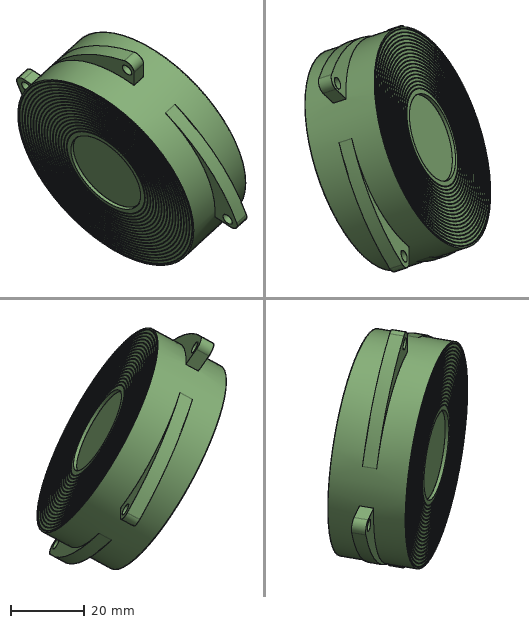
import cadquery as cq
import math

body_radius = 31.5
body_depth = 22.0

recess_radius = 12.5
recess_depth = 1.0

groove_count = 18
first_groove_radius = 14.0
last_groove_radius = 31.0
groove_width = 0.2
groove_depth = 0.2

ear_count = 4
ear_thickness = 4.0
ear_reach = 39.5
tip_radius = 2.5
hole_radius = 1.65
hole_distance = 36.0
back_radius = 52.0


def polar(radius, angle, center=(0, 0)):
    """Point at the given radius and angle from a center."""
    return (center[0] + radius * math.cos(angle), center[1] + radius * math.sin(angle))


def extrude_mid_plane(sketch, depth):
    """Solid that reaches half of depth to each side of the XZ plane."""
    return sketch.extrude(depth / 2, both=True)


def make_ear():
    """Ear with a straight flank, a round tip and a long curved back that meets the body tangentially."""
    tip_height = ear_reach - tip_radius
    tip_center = (0, tip_height)

    body_to_back = back_radius - body_radius
    tip_to_back = back_radius - tip_radius
    cosine = (tip_height**2 + body_to_back**2 - tip_to_back**2) / (2 * tip_height * body_to_back)
    back_center = polar(body_to_back, math.pi / 2 - math.acos(cosine))

    contact_angle = math.atan2(-back_center[1], -back_center[0])
    tip_angle = math.atan2(tip_height - back_center[1], -back_center[0])
    contact = polar(body_radius, contact_angle)
    back_middle = polar(back_radius, (contact_angle + tip_angle) / 2, back_center)
    tip_start = polar(tip_radius, tip_angle, tip_center)
    tip_middle = polar(tip_radius, tip_angle / 2, tip_center)
    tip_end = polar(tip_radius, 0, tip_center)

    outline = (
        cq.Workplane("XZ")
        .moveTo(0, 0)
        .lineTo(*contact)
        .threePointArc(back_middle, tip_start)
        .threePointArc(tip_middle, tip_end)
        .lineTo(tip_radius, 0)
        .close()
    )
    hole = cq.Workplane("XZ").center(0, hole_distance).circle(hole_radius)
    return extrude_mid_plane(outline, ear_thickness).cut(extrude_mid_plane(hole, ear_thickness))


def make_body():
    """Body turned about Y, with the recess and the grooves in both end faces."""
    face = body_depth / 2
    floor = face - recess_depth
    groove_pitch = (last_groove_radius - first_groove_radius) / (groove_count - 1)

    end_profile = [(0, floor), (recess_radius, floor), (recess_radius, face)]
    for index in range(groove_count):
        radius = first_groove_radius + index * groove_pitch
        end_profile.append((radius - groove_width / 2, face))
        end_profile.append((radius, face - groove_depth))
        end_profile.append((radius + groove_width / 2, face))
    end_profile.append((body_radius, face))

    opposite_end = [(radius, -y) for radius, y in reversed(end_profile)]
    profile = cq.Workplane("XY").polyline(end_profile + opposite_end).close()
    return profile.revolve(360, (0, 0, 0), (0, 1, 0))


result = make_body()
ear = make_ear()
for index in range(ear_count):
    result = result.union(ear.rotate((0, 0, 0), (0, 1, 0), index * 360 / ear_count))